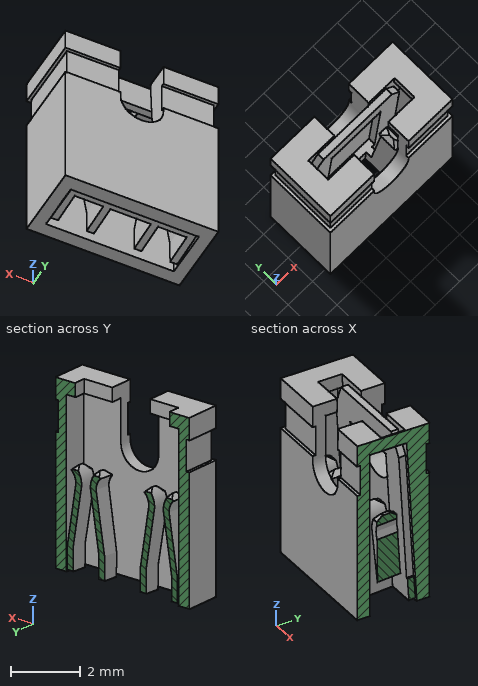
import cadquery as cq
import math

WIDTH = 4.98
DEPTH = 2.45
HEIGHT = 5.97
SIDE_WALL = 0.41
FRONT_WALL = 0.435
LIP_HEIGHT = 0.455
MOUTH_WIDTH = 3.51
MOUTH_FRONT_Y = -0.4
MOUTH_BACK_Y = 0.405
GROOVE_BOTTOM = 4.27
GROOVE_TOP = 5.26
GROOVE_DEPTH = 0.1
SLOT_WIDTH = 1.395
SLOT_BOTTOM = 3.425

LEAN = 3.6
SHEET = 0.23
WALL_GAP = 0.03
CONTACT_BOTTOM = 0.12
CONTACT_TOP = 5.825
BRIDGE_BOTTOM = 4.83
BRIDGE_TOP_WIDTH = 2.78
SHOULDER_Z = 5.105
WEB_TOP = 0.895
LEG_INNER_X = 0.995
LEG_OUTER_X = 1.745

PIN_X = 1.355
FINGER_GAP = 0.305
FINGER_BASE_OFFSET = 0.465
BULGE_Z = 2.88
BULGE_RADIUS = 0.775
FLARE_ANGLE = 45.0
FINGER_BACK = 0.44
FINGER_TIP_DEPTH = 0.68
FINGER_BASE_DEPTH = 0.835
TIP_FLAT = 0.17
TIP_BEVEL_HEIGHT = 0.195

LEAN_SLOPE = math.tan(math.radians(LEAN))
CAVITY_BACK_Y = MOUTH_BACK_Y + HEIGHT * LEAN_SLOPE


def block(x_size, y_min, y_max, z_min, z_max):
    """Box centred on X between the given Y and Z limits."""
    box = cq.Workplane("XY").box(x_size, y_max - y_min, z_max - z_min, centered=(True, False, False))
    return box.translate((0, y_min, z_min))


def cavity_part(width, front_y, z_min, z_max):
    """Part of the cavity between two heights, with the sloping back face."""
    back_at_bottom = CAVITY_BACK_Y - z_min * LEAN_SLOPE
    back_at_top = CAVITY_BACK_Y - z_max * LEAN_SLOPE
    outline = [(front_y, z_min), (back_at_bottom, z_min), (back_at_top, z_max), (front_y, z_max)]
    return cq.Workplane("YZ").polyline(outline).close().extrude(width / 2, both=True)


def make_groove():
    """Ring that is cut around the outside, below the top flange."""
    ring = block(WIDTH, -DEPTH / 2, DEPTH / 2, GROOVE_BOTTOM, GROOVE_TOP)
    core_half = DEPTH / 2 - GROOVE_DEPTH
    return ring.cut(block(WIDTH - 2 * GROOVE_DEPTH, -core_half, core_half, GROOVE_BOTTOM, GROOVE_TOP))


def make_slot():
    """Round-bottomed slot through the front and back walls."""
    radius = SLOT_WIDTH / 2
    centre_z = SLOT_BOTTOM + radius
    return (
        cq.Workplane("XZ")
        .moveTo(-radius, HEIGHT)
        .lineTo(-radius, centre_z)
        .threePointArc((0, SLOT_BOTTOM), (radius, centre_z))
        .lineTo(radius, HEIGHT)
        .close()
        .extrude(DEPTH / 2, both=True)
    )


def make_housing():
    body = block(WIDTH, -DEPTH / 2, DEPTH / 2, 0, HEIGHT)
    ceiling = HEIGHT - LIP_HEIGHT
    body = body.cut(cavity_part(WIDTH - 2 * SIDE_WALL, FRONT_WALL - DEPTH / 2, 0, ceiling))
    body = body.cut(cavity_part(MOUTH_WIDTH, MOUTH_FRONT_Y, ceiling, HEIGHT))
    return body.cut(make_groove()).cut(make_slot())


def make_back_sheet():
    """Flat back of the contact: bridge at the top, two legs, and a web along the bottom."""
    web_outer = PIN_X + FINGER_BASE_OFFSET + SHEET
    half_outline = [
        (BRIDGE_TOP_WIDTH / 2, CONTACT_TOP),
        (LEG_OUTER_X, SHOULDER_Z),
        (LEG_OUTER_X, WEB_TOP),
        (web_outer, WEB_TOP),
        (web_outer, CONTACT_BOTTOM),
    ]
    outline = half_outline + [(-x, z) for x, z in reversed(half_outline)]
    sheet = cq.Workplane("XZ").polyline(outline).close().extrude(SHEET)
    window = block(2 * LEG_INNER_X, -SHEET, 0, WEB_TOP, BRIDGE_BOTTOM)
    return sheet.cut(window)


def finger_bend():
    """Bent strip of the finger on the +X side of a pin at X = 0: upright root, leaning shaft, flared tip."""
    inner_x = FINGER_GAP / 2
    outer_x = inner_x + SHEET
    centre_x = inner_x + BULGE_RADIUS
    outer_radius = BULGE_RADIUS - SHEET

    def arc_point(radius, angle):
        turn = math.radians(angle)
        return (centre_x - radius * math.cos(turn), BULGE_Z + radius * math.sin(turn))

    return (
        cq.Workplane("XZ")
        .moveTo(FINGER_BASE_OFFSET, CONTACT_BOTTOM)
        .lineTo(FINGER_BASE_OFFSET, WEB_TOP)
        .lineTo(inner_x, BULGE_Z)
        .threePointArc(arc_point(BULGE_RADIUS, FLARE_ANGLE / 2), arc_point(BULGE_RADIUS, FLARE_ANGLE))
        .lineTo(*arc_point(outer_radius, FLARE_ANGLE))
        .threePointArc(arc_point(outer_radius, FLARE_ANGLE / 2), (outer_x, BULGE_Z))
        .lineTo(FINGER_BASE_OFFSET + SHEET, WEB_TOP)
        .lineTo(FINGER_BASE_OFFSET + SHEET, CONTACT_BOTTOM)
        .close()
        .extrude(FINGER_BACK + FINGER_BASE_DEPTH)
    )


def finger_side():
    """Side outline of a finger: root joined to the sheet, shaft with a gap behind it, bevelled tip."""
    tip_z = BULGE_Z + BULGE_RADIUS * math.sin(math.radians(FLARE_ANGLE))
    shoulder_z = tip_z - TIP_BEVEL_HEIGHT
    tip_bevel = (FINGER_TIP_DEPTH - TIP_FLAT) / 2
    tip_front = FINGER_BACK + FINGER_TIP_DEPTH
    outline = [
        (0, CONTACT_BOTTOM),
        (0, WEB_TOP),
        (-FINGER_BACK, WEB_TOP),
        (-FINGER_BACK, shoulder_z),
        (-FINGER_BACK - tip_bevel, tip_z),
        (-tip_front + tip_bevel, tip_z),
        (-tip_front, shoulder_z),
        (-FINGER_BACK - FINGER_BASE_DEPTH, CONTACT_BOTTOM),
    ]
    return cq.Workplane("YZ").polyline(outline).close().extrude(WIDTH / 2, both=True)


def make_contact():
    contact = make_back_sheet()
    finger = finger_bend().intersect(finger_side())
    for pin_x in (-PIN_X, PIN_X):
        for side_finger in (finger, finger.mirror("YZ")):
            contact = contact.union(side_finger.translate((pin_x, 0, 0)))
    leaned = contact.rotate((0, 0, 0), (1, 0, 0), LEAN)
    return leaned.translate((0, CAVITY_BACK_Y - WALL_GAP, 0))


housing = make_housing()
contact = make_contact()
result = cq.Compound.makeCompound([housing.solids().val(), contact.solids().val()])